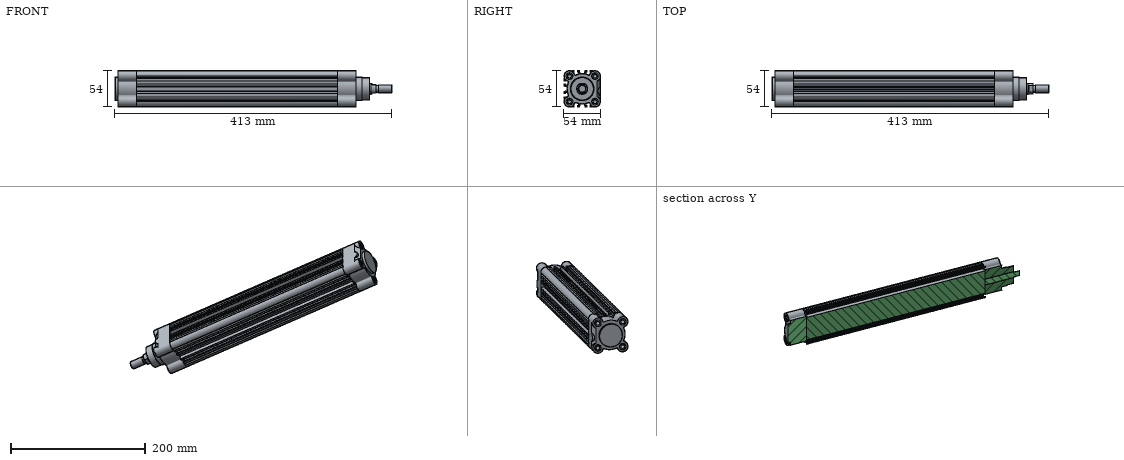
import cadquery as cq
import math


total_length = 413.0
spigot_length = 4.0
cap_length = 27.5
tube_length = 300.0
collar_length = 20.0
collar_base_length = 8.5
lip_length = 2.0

rear_cap_x = spigot_length
tube_x = rear_cap_x + cap_length
tube_end_x = tube_x + tube_length
front_cap_end_x = tube_end_x + cap_length
collar_end_x = front_cap_end_x + collar_length
lip_end_x = collar_end_x + lip_length

side = 54.0
post_pitch = 38.0
half_side = side / 2
half_pitch = post_pitch / 2
post_radius = half_side - half_pitch

core_radius = 22.7
post_fillet = 1.2
spigot_diameter = 35.0
collar_tip_diameter = 33.5
lip_diameter = 16.5
screw_recess_diameter = 10.0
screw_recess_depth = 1.0
socket_diameter = 5.8
socket_depth = 3.5
ramp_start_height = 22.0
ramp_length = 7.5
port_diameter = 14.0
port_z = -3.7
port_from_face = 9.5

slot_inner_edge = 7.0
slot_outer_edge = 12.0
slot_undercut = 1.2
slot_lip = 2.0
slot_floor = 20.0
channel_top_width = 8.3
channel_floor_width = 5.8
channel_floor_radius = 22.5
vee_width = 3.7
vee_depth = 1.5
centre_groove_width = 2.5
centre_groove_depth = 1.0

rod_diameter = 16.0
flat_distance = 13.0
flat_length = 6.0
shoulder_x = 389.0
neck_length = 3.5
neck_diameter = 10.5
thread_diameter = 12.0
tip_chamfer = 1.0


def rod_along_x(diameter, start_x, end_x):
    """Round bar on the cylinder axis."""
    return cq.Workplane("YZ").workplane(offset=start_x).circle(diameter / 2).extrude(end_x - start_x)


def polar(radius, angle):
    """Y, Z of a point given by its distance from the axis and its angle from +Y."""
    return (radius * math.cos(angle), radius * math.sin(angle))


def cap_outline():
    """Round core with four corner posts, blended by small concave fillets."""
    post_distance = math.hypot(half_pitch, half_pitch)
    fillet_distance = core_radius + post_fillet
    fillet_to_post = post_radius + post_fillet
    spread = math.acos(
        (post_distance**2 + fillet_distance**2 - fillet_to_post**2) / (2 * post_distance * fillet_distance)
    )

    def fillet_points(angle):
        """Core tangent point, middle and post tangent point of the fillet centred at this angle."""
        post_angle = math.pi / 4 + math.pi / 2 * math.floor(angle / (math.pi / 2))
        centre = cq.Vector(*polar(fillet_distance, angle))
        post = cq.Vector(*polar(post_distance, post_angle))
        to_core = (centre * -1).normalized()
        to_post = (post - centre).normalized()
        to_middle = (to_core + to_post).normalized()
        points = [centre + direction * post_fillet for direction in (to_core, to_middle, to_post)]
        return [(point.x, point.y) for point in points]

    outline = cq.Workplane("YZ").moveTo(*fillet_points(math.pi / 4 - spread)[0])
    for quarter in range(4):
        post_angle = math.pi / 4 + quarter * math.pi / 2
        core_start, middle_in, post_start = fillet_points(post_angle - spread)
        core_end, middle_out, post_end = fillet_points(post_angle + spread)
        next_core_start = polar(core_radius, post_angle + math.pi / 2 - spread)
        outline = (
            outline.threePointArc(middle_in, post_start)
            .threePointArc(polar(post_distance + post_radius, post_angle), post_end)
            .threePointArc(middle_out, core_end)
            .threePointArc(polar(core_radius, post_angle + math.pi / 4), next_core_start)
        )
    return outline.close()


def port_ramp(cap):
    """Flat +Y side that slopes down to the outer face and carries a round port boss."""
    gap = post_pitch - 2 * post_radius
    block = (
        cq.Workplane("XY")
        .moveTo(0, 0)
        .lineTo(0, ramp_start_height)
        .lineTo(ramp_length, half_side)
        .lineTo(cap_length, half_side)
        .lineTo(cap_length, 0)
        .close()
        .extrude(half_pitch, both=True)
    )
    above_ramp = (
        cq.Workplane("XY")
        .polyline([(0, ramp_start_height), (ramp_length, half_side), (0, half_side)])
        .close()
        .extrude(gap / 2, both=True)
    )
    boss = (
        cq.Workplane("XZ")
        .center(port_from_face, port_z)
        .circle(port_diameter / 2)
        .extrude(-half_side)
    )
    return cap.cut(above_ramp).union(block).union(boss)


def screw_seats():
    """Shallow round recess with a conical socket in the outer end of every post."""
    corners = cq.Workplane("YZ").rect(post_pitch, post_pitch, forConstruction=True).vertices()
    seats = corners.circle(screw_recess_diameter / 2).extrude(screw_recess_depth)
    for y in (-half_pitch, half_pitch):
        for z in (-half_pitch, half_pitch):
            cone = cq.Solid.makeCone(
                socket_diameter / 2, 0, socket_depth, cq.Vector(screw_recess_depth, y, z), cq.Vector(1, 0, 0)
            )
            seats = seats.union(cq.Workplane(cone))
    return seats


def end_cap():
    """Cap with its outer face at X = 0 and its tube side towards +X."""
    return port_ramp(cap_outline().extrude(cap_length)).cut(screw_seats())


def make_rear_cap():
    """End cap with a short centring spigot."""
    spigot = rod_along_x(spigot_diameter, 0, rear_cap_x)
    return end_cap().translate((rear_cap_x, 0, 0)).union(spigot)


def make_front_cap():
    """Mirrored end cap with a stepped collar, bored through for the piston rod."""
    cap = end_cap().mirror("YZ").translate((front_cap_end_x, 0, 0))
    collar_step_x = front_cap_end_x + collar_base_length
    collar = (
        rod_along_x(spigot_diameter, front_cap_end_x, collar_step_x)
        .union(rod_along_x(collar_tip_diameter, collar_step_x, collar_end_x))
        .union(rod_along_x(lip_diameter, collar_end_x, lip_end_x))
    )
    rod_bore = rod_along_x(rod_diameter, tube_end_x, lip_end_x)
    return cap.union(collar).cut(rod_bore)


def t_slot():
    """T-slot in the +Z side, on the +Y half."""
    lip_z = half_side - slot_lip
    slot = [(slot_inner_edge, half_side), (slot_inner_edge, lip_z), (slot_inner_edge - slot_undercut, lip_z)]
    slot += [(slot_inner_edge - slot_undercut, slot_floor), (slot_outer_edge + slot_undercut, slot_floor)]
    slot += [(slot_outer_edge + slot_undercut, lip_z), (slot_outer_edge, lip_z), (slot_outer_edge, half_side)]
    return cq.Workplane("YZ").polyline(slot).close().extrude(tube_length)


def vee_groove():
    """V-groove in the +Z side, starting where the rounded corner ends."""
    vee = [
        (half_pitch, half_side),
        (half_pitch - vee_width / 2, half_side - vee_depth),
        (half_pitch - vee_width, half_side),
    ]
    return cq.Workplane("YZ").polyline(vee).close().extrude(tube_length)


def middle_channel():
    """Channel along the middle of the +Z side, with slanted walls and a floor round the axis."""
    half_floor = channel_floor_width / 2
    floor_edge_z = math.sqrt(channel_floor_radius**2 - half_floor**2)
    return (
        cq.Workplane("YZ")
        .moveTo(channel_top_width / 2, half_side)
        .lineTo(half_floor, floor_edge_z)
        .threePointArc((0, channel_floor_radius), (-half_floor, floor_edge_z))
        .lineTo(-channel_top_width / 2, half_side)
        .close()
        .extrude(tube_length)
    )


def make_tube():
    """Square profile with the same grooves on all four sides and a fine groove along the top channel."""
    tube = cq.Workplane("YZ").rect(side, side).extrude(tube_length).edges("|X").fillet(post_radius)
    half_grooves = t_slot().union(vee_groove())
    side_grooves = half_grooves.union(half_grooves.mirror("XZ")).union(middle_channel())
    for quarter in range(4):
        tube = tube.cut(side_grooves.rotate((0, 0, 0), (1, 0, 0), 90 * quarter))
    centre_groove = (
        cq.Workplane("YZ")
        .center(0, channel_floor_radius)
        .rect(centre_groove_width, 2 * centre_groove_depth)
        .extrude(tube_length)
    )
    return tube.cut(centre_groove).translate((tube_x, 0, 0))


def make_piston_rod():
    """Rod from the tube end to the tip, with two wrench flats, a neck and a chamfered thread end."""
    neck_end_x = shoulder_x + neck_length
    thread = rod_along_x(thread_diameter, neck_end_x, total_length).faces(">X").chamfer(tip_chamfer)
    rod = (
        rod_along_x(rod_diameter, tube_end_x, shoulder_x)
        .union(rod_along_x(neck_diameter, shoulder_x, neck_end_x))
        .union(thread)
    )
    flat_middle_x = shoulder_x - flat_length / 2
    flat_depth = (rod_diameter - flat_distance) / 2
    for direction in (-1, 1):
        flat_z = direction * (flat_distance + flat_depth) / 2
        flat = cq.Workplane("XY").box(flat_length, rod_diameter, flat_depth)
        rod = rod.cut(flat.translate((flat_middle_x, 0, flat_z)))
    return rod


rear_cap = make_rear_cap()
tube = make_tube()
front_cap = make_front_cap()
piston_rod = make_piston_rod()

result = cq.Compound.makeCompound([rear_cap.val(), tube.val(), front_cap.val(), piston_rod.val()])